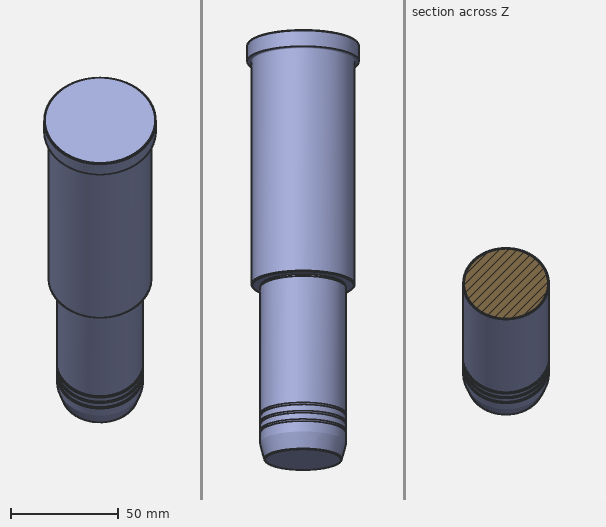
import cadquery as cq
import math

total_length = 200.0
head_radius = 26.0
head_height = 8.0
head_edge = 0.5

body_radius = 24.0
shoulder_z = 84.0
body_edge = 0.5
head_fillet = 0.5

pin_radius = 20.0
neck_depth = 0.5
neck_height = 1.0

groove_count = 3
groove_pitch = 4.0
groove_radius = 0.5
lowest_groove_z = 13.5

lead_top_z = 8.0
tip_radius = 18.0
tip_edge = 0.4
lead_bulge = 0.1

head_bottom_z = total_length - head_height
neck_radius = pin_radius - neck_depth
neck_bottom_z = shoulder_z - neck_height


def turned_blank():
    """Revolve the half profile of the stepped pin about Z."""
    lead_middle = ((tip_radius + pin_radius) / 2 + lead_bulge, (tip_edge + lead_top_z) / 2)
    profile = (
        cq.Workplane("XZ")
        .lineTo(tip_radius - tip_edge, 0)
        .lineTo(tip_radius, tip_edge)
        .threePointArc(lead_middle, (pin_radius, lead_top_z))
        .lineTo(pin_radius, neck_bottom_z)
        .lineTo(neck_radius, neck_bottom_z)
        .lineTo(neck_radius, shoulder_z)
        .lineTo(body_radius - body_edge, shoulder_z)
        .lineTo(body_radius, shoulder_z + body_edge)
        .lineTo(body_radius, head_bottom_z - head_fillet)
        .radiusArc((body_radius + head_fillet, head_bottom_z), head_fillet)
        .lineTo(head_radius, head_bottom_z)
        .lineTo(head_radius, total_length - head_edge)
        .lineTo(head_radius - head_edge, total_length)
        .lineTo(0, total_length)
        .close()
    )
    return profile.revolve(360, (0, 0, 0), (0, 1, 0))


def ring_groove(middle_z):
    """Ring to remove for one half-round groove, its inner side made of two quarter arcs."""
    arc_reach = groove_radius * math.sin(math.radians(45))
    section = (
        cq.Workplane("XZ")
        .center(pin_radius, middle_z)
        .moveTo(0, -groove_radius)
        .threePointArc((-arc_reach, -arc_reach), (-groove_radius, 0))
        .threePointArc((-arc_reach, arc_reach), (0, groove_radius))
        .lineTo(groove_radius, groove_radius)
        .lineTo(groove_radius, -groove_radius)
        .close()
    )
    return section.revolve(360, (-pin_radius, 0, 0), (-pin_radius, 1, 0))


result = turned_blank()
for index in range(groove_count):
    result = result.cut(ring_groove(lowest_groove_z + index * groove_pitch))